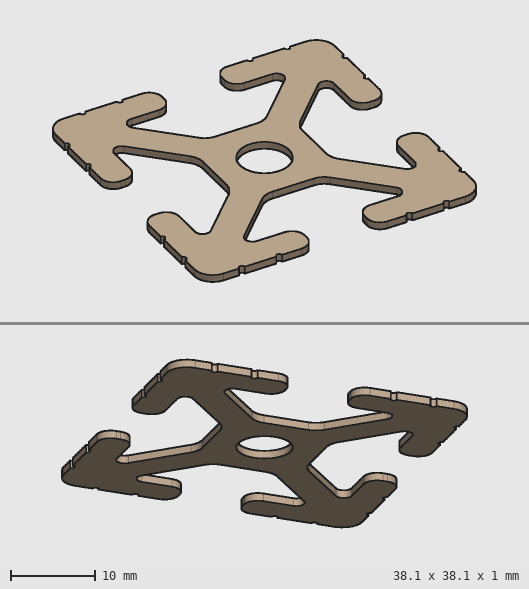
import cadquery as cq
import math

side = 38.1
thickness = 1.0
corner_radius = 2.54
bore_diameter = 6.67

slot_opening = 8.18
lip_thickness = 4.06
lip_end_radius = 1.75
core_width = 13.58
arm_width = 4.1
slot_tip_radius = 1.016
core_corner_radius = 2.54

groove_radius = 0.381
groove_pitch = 5.08
inner_groove_offset = 8.89

half_side = side / 2
half_core = core_width / 2
half_opening = slot_opening / 2
lip_inner = half_side - lip_thickness
arm_edge_shift = arm_width / math.sqrt(2)
tip_x = lip_inner - arm_edge_shift
core_x = half_core - arm_edge_shift
outer_groove_offset = inner_groove_offset + groove_pitch

quarter_turns = (0, 90, 180, 270)
corner_search = 0.1


def round_corners(body, points, radius):
    """Fillet the vertical edges standing at the given (x, y) points."""
    for x, y in points:
        selector = cq.selectors.BoxSelector(
            (x - corner_search, y - corner_search, -thickness),
            (x + corner_search, y + corner_search, 2 * thickness),
        )
        body = body.edges("|Z").edges(selector).fillet(radius)
    return body


def mirrored(x, y):
    """Return the point and its mirror image across the Y axis."""
    return [(-x, y), (x, y)]


def turned(points, angle):
    """Rotate (x, y) points about the plate centre."""
    c = math.cos(math.radians(angle))
    s = math.sin(math.radians(angle))
    return [(c * x - s * y, s * x + c * y) for x, y in points]


def make_plate():
    plate = cq.Workplane("XY").rect(side, side).extrude(thickness)
    return plate.edges("|Z").fillet(corner_radius)


def cut_slot(body, angle):
    """Cut one T-slot from the +Y side turned by the angle, and round its corners."""
    outline = [
        (-half_opening, half_side),
        (-half_opening, lip_inner),
        (-tip_x, lip_inner),
        (-core_x, half_core),
        (core_x, half_core),
        (tip_x, lip_inner),
        (half_opening, lip_inner),
        (half_opening, half_side),
    ]
    slot = cq.Workplane("XY").polyline(turned(outline, angle)).close().extrude(thickness)
    body = body.cut(slot)
    lip_corners = mirrored(half_opening, half_side) + mirrored(half_opening, lip_inner)
    body = round_corners(body, turned(lip_corners, angle), lip_end_radius)
    body = round_corners(body, turned(mirrored(tip_x, lip_inner), angle), slot_tip_radius)
    return round_corners(body, turned(mirrored(core_x, half_core), angle), core_corner_radius)


def cut_grooves(body, angle):
    """Cut the four half-round grooves on the +Y side turned by the angle."""
    centres = mirrored(inner_groove_offset, half_side) + mirrored(outer_groove_offset, half_side)
    grooves = cq.Workplane("XY").pushPoints(turned(centres, angle)).circle(groove_radius).extrude(thickness)
    return body.cut(grooves)


def cut_bore(body):
    bore = cq.Workplane("XY").circle(bore_diameter / 2).extrude(thickness)
    return body.cut(bore)


result = make_plate()
for turn in quarter_turns:
    result = cut_slot(result, turn)
    result = cut_grooves(result, turn)
result = cut_bore(result)